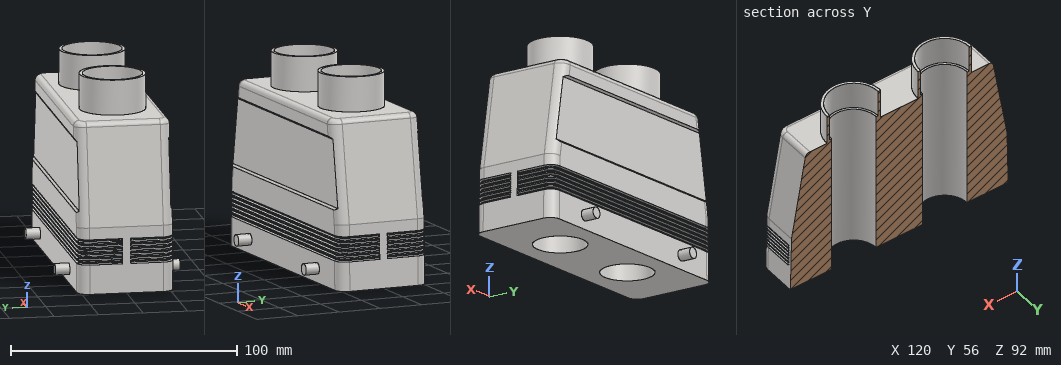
import cadquery as cq
import math

base_length = 120.0
shoulder_length = 118.8
top_length = 103.0
body_depth = 43.2
shoulder_height = 30.0
body_height = 76.2
corner_radius = 5.0
top_fillet = 2.6

recess_depth = 1.0
recess_bottom = 36.1
recess_top = 68.3
recess_bevel = 1.0

groove_count = 6
groove_depth = 1.0
groove_width = 1.5
groove_root_width = 0.5
band_bottom = 13.3
band_height = 11.4
band_gap = 3.8
groove_pitch = (band_height - groove_width) / (groove_count - 1)

total_height = 92.0
sleeve_spacing = 50.0
sleeve_diameter = 29.5
sleeve_bore = 26.6
sleeve_bore_depth = 14.4
through_bore = 24.5

pin_diameter = 5.2
pin_spacing = 72.0
pin_height = 6.6
pin_span = 56.0

clearance = 6.0


def make_body():
    profile = [
        (-base_length / 2, 0),
        (base_length / 2, 0),
        (shoulder_length / 2, shoulder_height),
        (top_length / 2, body_height),
        (-top_length / 2, body_height),
        (-shoulder_length / 2, shoulder_height),
    ]
    body = cq.Workplane("XZ").polyline(profile).close().extrude(body_depth / 2, both=True)
    body = body.edges("not(#Z or |Y)").fillet(corner_radius)
    return body.faces(">Z").edges().fillet(top_fillet)


def make_recess(side):
    face = side * body_depth / 2
    floor = face - side * recess_depth
    section = [
        (face, recess_bottom),
        (floor, recess_bottom + recess_bevel),
        (floor, recess_top - recess_bevel),
        (face, recess_top),
    ]
    return cq.Workplane("YZ").polyline(section).close().extrude(base_length / 2, both=True)


def make_groove(middle):
    """Ring cutter at height `middle`, flaring from a narrow flat root out to its mouth."""
    draft = (base_length - shoulder_length) / shoulder_height
    root_length = base_length - draft * middle - 2 * groove_depth
    root_depth = body_depth - 2 * groove_depth
    flank_height = (groove_width - groove_root_width) / 2
    flank_angle = math.degrees(math.atan(groove_depth / flank_height))

    slab = cq.Workplane("XY", origin=(0, 0, middle))
    root_outline = (
        cq.Sketch()
        .rect(root_length, root_depth)
        .vertices()
        .fillet(corner_radius - groove_depth)
    )
    ring = slab.box(base_length + clearance, body_depth + clearance, groove_width)
    for direction in (-1, 1):
        half_root = direction * groove_root_width / 2
        root = slab.placeSketch(root_outline).extrude(half_root)
        flank = (
            slab.workplane(offset=half_root)
            .placeSketch(root_outline)
            .extrude(direction * flank_height, taper=-flank_angle)
        )
        ring = ring.cut(root).cut(flank)
    gap = slab.box(base_length + 2 * clearance, band_gap, groove_width)
    return ring.cut(gap)


def make_entry_cylinders(diameter, bottom, top):
    """One upright cylinder on the axis of each cable entry."""
    return (
        cq.Workplane("XY", origin=(0, 0, bottom))
        .pushPoints([(-sleeve_spacing / 2, 0), (sleeve_spacing / 2, 0)])
        .circle(diameter / 2)
        .extrude(top - bottom)
    )


def make_pins():
    return (
        cq.Workplane("XZ")
        .pushPoints([(-pin_spacing / 2, pin_height), (pin_spacing / 2, pin_height)])
        .circle(pin_diameter / 2)
        .extrude(pin_span / 2, both=True)
    )


hood = make_body()
for side in (-1, 1):
    hood = hood.cut(make_recess(side))
for index in range(groove_count):
    hood = hood.cut(make_groove(band_bottom + groove_width / 2 + index * groove_pitch))

hood = hood.union(make_pins())
hood = hood.union(make_entry_cylinders(sleeve_diameter, shoulder_height, total_height))
hood = hood.cut(make_entry_cylinders(sleeve_bore, total_height - sleeve_bore_depth, total_height))
hood = hood.cut(make_entry_cylinders(through_bore, 0, total_height))

result = hood